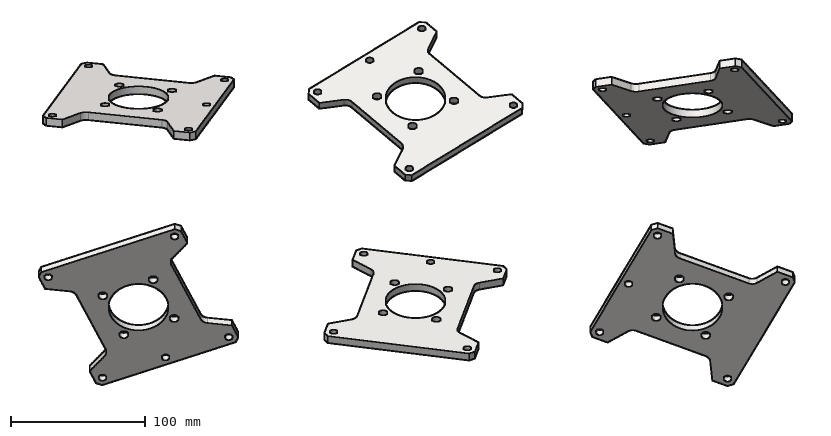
import cadquery as cq
import math

length = 117.5
width = 114.3
thickness = 6.3
corner_chamfer = 3.5

notch_mouth = 85.5
notch_depth = 19.0
arm_angle = 30.0
notch_fillet = 6.0

bore_diameter = 44.4
bolt_spacing = 40.4
bolt_diameter = 6.6
mount_margin = 6.5
mount_diameter = 5.6

notch_floor = notch_mouth - 2 * notch_depth * math.tan(math.radians(arm_angle))
mount_x = length / 2 - mount_margin
mount_y = width / 2 - mount_margin


def make_plate():
    plate = cq.Workplane("XY").box(length, width, thickness)
    return plate.edges("|Z").chamfer(corner_chamfer)


def make_notch(side):
    """Trapezoidal cutter with rounded floor corners; side is +1 or -1 along Y."""
    edge_y = side * width / 2
    floor_y = edge_y - side * notch_depth
    outline = [
        (-notch_mouth / 2, edge_y),
        (-notch_floor / 2, floor_y),
        (notch_floor / 2, floor_y),
        (notch_mouth / 2, edge_y),
    ]
    cutter = cq.Workplane("XY").polyline(outline).close().extrude(thickness / 2, both=True)
    floor_face = "<Y" if side > 0 else ">Y"
    return cutter.faces(floor_face).edges("|Z").fillet(notch_fillet)


def drill(body, points, diameter):
    return body.faces(">Z").workplane(origin=(0, 0, 0)).pushPoints(points).hole(diameter)


result = make_plate()
for side in (1, -1):
    result = result.cut(make_notch(side))

bolt_points = [(x * bolt_spacing / 2, y * bolt_spacing / 2) for x in (-1, 1) for y in (-1, 1)]
result = drill(result, [(0, 0)], bore_diameter)
result = drill(result, bolt_points, bolt_diameter)

mount_points = [(x * mount_x, y * mount_y) for x in (-1, 1) for y in (-1, 1)]
mount_points.append((mount_x, 0))
result = drill(result, mount_points, mount_diameter)